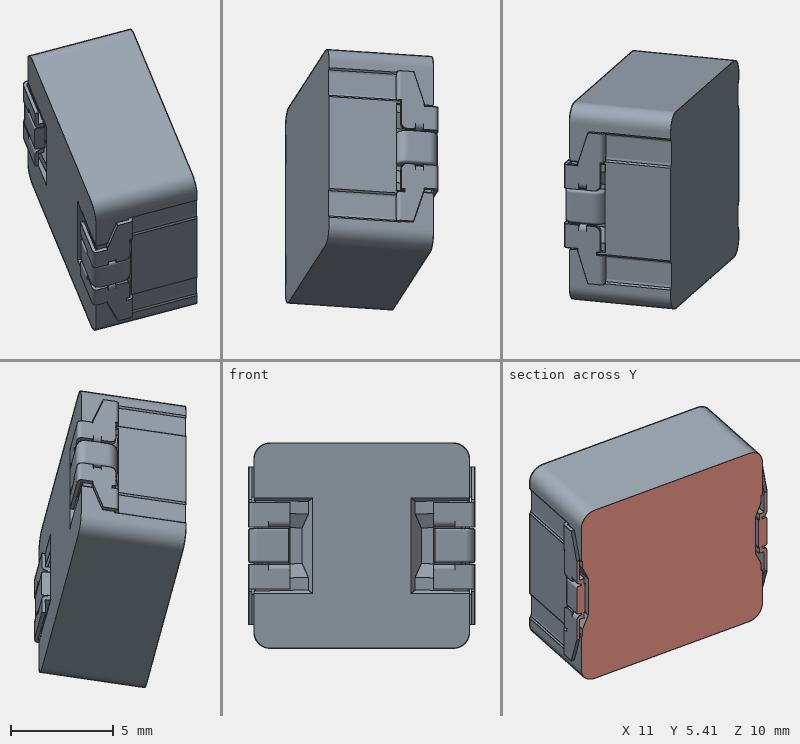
import cadquery as cq

body_width = 10.5
body_length = 10.0
body_bottom = 0.21
body_top = 5.41
corner_radius = 0.8
body_side = body_width / 2

outer_side = 11.02 / 2
sheet = 0.18
pad_bend = 0.21
arm_top = 2.05
arm_underside = arm_top - sheet
arm_embed = 0.4
pad_end = 3.5
pad_inner_z = 0.905
pad_outer_z = 2.11
shoulder_z = 2.24
shoulder_y = 0.73
wing_z = 3.84
wing_y = 1.25
arm_inner_z = 2.36
plate_corner_radius = 0.28
relief_depth = 0.17
relief_width = 0.16

weld_radius = 0.275
weld_outer_z = pad_inner_z + weld_radius
weld_pad_start = 4.55
weld_side_low = 0.765
weld_side_high = 1.17

lead_half_width = 0.835
lead_thickness = 0.5
lead_end = 3.56
lead_end_lean = 0.06
lead_low_bend = 0.44
lead_high_bend = 0.54
lead_edge_radius = 0.125

recess_end = 2.395
recess_half_length = 2.33
recess_depth = 0.205
recess_floor_z = 2.16
recess_floor_spread = 0.05
recess_end_run = 0.205
recess_crease = 2.99
recess_rise = 0.115
trench_depth = 0.505
trench_top_z = 1.54
trench_bottom_z = 0.86
trench_spread = 0.14

side_recess_half_length = 2.25
side_recess_floor_z = 2.2
side_recess_depth = 0.07
side_trench_depth = 0.4
side_trench_top_z = 1.81
side_trench_bottom_z = 1.08

groove_outer_z = 3.84
groove_inner_z = 2.36
groove_depth = 0.1
groove_step_depth = 0.07
groove_step_run = 0.09
groove_bevel_run = 0.2

overrun = 0.5


def extrude_along_z(points, half_length):
    """Prism with an XY outline, centred on Z = 0."""
    return cq.Workplane("XY").polyline(points).close().extrude(half_length, both=True)


def symmetric_outline(half_points):
    """Close an outline given for +Z by repeating it mirrored for -Z."""
    return half_points + [(a, -z) for a, z in reversed(half_points)]


def make_body():
    height = body_top - body_bottom
    block = cq.Workplane("XY").box(body_width, height, body_length)
    block = block.edges("|Y").fillet(corner_radius)
    return block.translate((0, body_bottom + height / 2, 0))


def recess_section(x, rise, spread):
    """YZ section of the bottom recess at one X, its floors lowered and its edges moved apart."""
    floor = body_bottom + recess_depth - rise
    half_outline = [
        (body_bottom, recess_half_length),
        (floor, recess_floor_z + recess_floor_spread * spread),
        (floor, trench_top_z + trench_spread * spread),
        (body_bottom + trench_depth - rise, trench_bottom_z + trench_spread * spread),
    ]
    return cq.Workplane("YZ", origin=(x, 0, 0)).polyline(symmetric_outline(half_outline)).close()


def make_bottom_recess():
    end_slope = recess_end_run / recess_depth
    end_space = extrude_along_z(
        [
            (-recess_end, body_bottom),
            (-recess_end - end_slope * trench_depth, body_bottom + trench_depth),
            (-recess_crease, body_bottom + trench_depth),
            (-recess_crease, body_bottom),
        ],
        body_length / 2,
    )
    inner = recess_section(-recess_crease, 0, 0).extrude(recess_crease - recess_end)
    inner = inner.intersect(end_space)
    near_wire = recess_section(-recess_crease, 0, 0).wires().val()
    far_wire = recess_section(-body_side, recess_rise, 1).wires().val()
    outer = cq.Workplane(cq.Solid.makeLoft([near_wire, far_wire], True))
    return inner.union(outer)


def make_side_recess():
    half_outline = [
        (-body_side - overrun, side_recess_half_length),
        (-body_side, side_recess_half_length),
        (-body_side + side_recess_depth, side_recess_floor_z),
        (-body_side + side_recess_depth, side_trench_top_z),
        (-body_side + side_trench_depth, side_trench_bottom_z),
    ]
    outline = symmetric_outline(half_outline)
    return cq.Workplane("XZ").polyline(outline).close().extrude(-arm_top)


def make_groove(side):
    """Groove in the -X wall on the +Z (side = 1) or -Z (side = -1) half."""
    profile = [
        (0, groove_outer_z),
        (groove_step_depth, groove_outer_z - groove_step_run),
        (groove_depth, groove_outer_z - groove_bevel_run),
        (groove_depth, groove_inner_z + groove_bevel_run),
        (groove_step_depth, groove_inner_z + groove_step_run),
        (0, groove_inner_z),
    ]
    points = [(-body_side + depth, side * z) for depth, z in profile]
    groove = cq.Workplane("XZ").polyline(points).close().extrude(-(body_top - arm_underside))
    return groove.translate((0, arm_underside, 0))


def make_bent_strip(thickness, end, end_lean, low_bend, high_bend, half_width):
    """Strip running under the body, up the side and into the side wall."""
    outline = (
        cq.Workplane("XY")
        .moveTo(-end, 0)
        .lineTo(-outer_side + low_bend, 0)
        .radiusArc((-outer_side, low_bend), low_bend)
        .lineTo(-outer_side, arm_top - high_bend)
        .radiusArc((-outer_side + high_bend, arm_top), high_bend)
        .lineTo(-body_side + arm_embed, arm_top)
        .lineTo(-body_side + arm_embed, arm_top - thickness)
        .lineTo(-outer_side + thickness, arm_top - thickness)
        .lineTo(-outer_side + thickness, thickness)
        .lineTo(-end + end_lean, thickness)
        .close()
    )
    return outline.extrude(half_width, both=True)


def make_terminal_blank():
    """Flat YZ outline of the +Z half of the terminal, as a tall prism along X."""
    inner = pad_inner_z + plate_corner_radius
    outline = (
        cq.Workplane("YZ")
        .moveTo(0, pad_inner_z)
        .lineTo(0, pad_outer_z)
        .lineTo(shoulder_y, pad_outer_z)
        .lineTo(shoulder_y, shoulder_z)
        .lineTo(wing_y, wing_z)
        .lineTo(arm_top, wing_z)
        .lineTo(arm_top, arm_inner_z)
        .lineTo(arm_underside, arm_inner_z)
        .lineTo(arm_underside, inner)
        .radiusArc((arm_underside - plate_corner_radius, pad_inner_z), plate_corner_radius)
        .close()
    )
    return outline.extrude(-outer_side)


def make_weld_block(length):
    """Square block at the inner edge of the sheet; runs along X, outer face at Y = 0."""
    block = cq.Workplane("XY").box(length, weld_radius, weld_radius, centered=False)
    return block.translate((0, 0, pad_inner_z))


def make_weld_bead(length):
    """Quarter-round bead falling away toward the lead, with a sunken strip that joins the lead."""
    round_bar = cq.Workplane("YZ").center(weld_radius, weld_outer_z).circle(weld_radius).extrude(length)
    strip_width = weld_outer_z - lead_half_width
    strip = cq.Workplane("XY").box(length, sheet, strip_width, centered=False)
    strip = strip.translate((0, weld_radius, lead_half_width))
    return make_weld_block(length).intersect(round_bar).union(strip)


def place_on_pad(weld):
    """Move a weld shape to the free end of the pad."""
    return weld.translate((-weld_pad_start, 0, 0))


def place_on_plate(weld):
    """Turn a weld shape to lie along the upright plate."""
    return weld.rotate((0, 0, 0), (0, 0, 1), -90).translate((-outer_side, weld_side_high, 0))


def make_terminal_half():
    strip = make_bent_strip(sheet, pad_end, 0, pad_bend, sheet, body_length / 2)
    half = strip.intersect(make_terminal_blank())
    pad_weld_length = weld_pad_start - pad_end
    half = half.cut(place_on_pad(make_weld_block(pad_weld_length)))
    half = half.union(place_on_pad(make_weld_bead(pad_weld_length)))
    plate_weld_length = weld_side_high - weld_side_low
    half = half.cut(place_on_plate(make_weld_block(plate_weld_length)))
    return half.union(place_on_plate(make_weld_bead(plate_weld_length)))


def make_relief():
    """Small relief notch beside the bent arm, on the -Z half only."""
    relief = cq.Workplane("XY").box(sheet, relief_depth, relief_width)
    return relief.translate((
        -outer_side + sheet / 2,
        arm_underside - relief_depth / 2,
        -arm_inner_z + relief_width / 2,
    ))


def make_lead():
    lead = make_bent_strip(
        lead_thickness, lead_end, lead_end_lean, lead_low_bend, lead_high_bend, lead_half_width
    )
    return lead.faces("<Y or <X").edges("not |Z").fillet(lead_edge_radius)


def make_end():
    """All metal parts of the -X end."""
    upper = make_terminal_half()
    lower = upper.mirror("XY").cut(make_relief())
    return [upper, lower, make_lead()]


cuts = [make_bottom_recess(), make_side_recess(), make_groove(1), make_groove(-1)]
result = make_body()
for cut in cuts:
    result = result.cut(cut).cut(cut.mirror("YZ"))
for piece in make_end():
    result = result.union(piece).union(piece.mirror("YZ"))